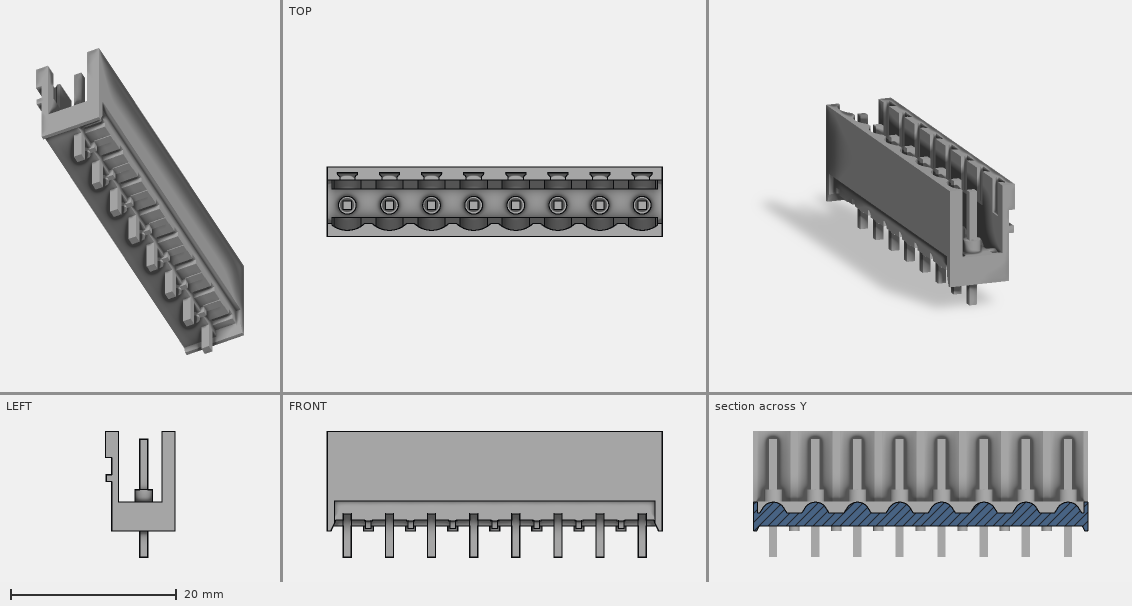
import cadquery as cq
import math


pin_count = 8
pitch = 5.08
pin_side = 1.0
pin_top = 11.1
pin_bottom = -3.15
pin_xs = [(i - (pin_count - 1) / 2) * pitch for i in range(pin_count)]
gap_xs = [x + pitch / 2 for x in pin_xs[:-1]]

length = 40.44
height = 12.05
front_face = -3.8
back_face = 4.63
half_length = length / 2

channel_front = -2.2
channel_back = 3.03
floor_top = 3.53
boss_diameter = 2.14
boss_top = 5.0

strip_front = -1.48
strip_back = 1.95
trough_half_length = half_length - 0.56
arch_radius = 1.5
arch_half_width = 1.27
arch_foot_half_width = 1.64
arch_shoulder_angle = math.asin(arch_half_width / arch_radius)
arch_shoulder_z = floor_top - arch_radius * (1 - math.cos(arch_shoulder_angle))
trough_bottom = arch_shoulder_z - (arch_foot_half_width - arch_half_width) * math.tan(arch_shoulder_angle)
scallop_radius = 3.03

lower_back_face = 3.87
ledge_z = 8.88
rail_face = 4.53
rail_bottom = 5.98
rail_top = 6.83
slot_neck_width = 1.83
slot_wide_width = 2.4
slot_flare_start = 3.42
slot_flare_end = 3.72
slot_back = 3.92
slot_bottom = 7.8

end_plate_thickness = 0.46
body_bottom = 1.35
end_slope_run = 0.6
rear_bottom = 0.6
rear_front = -pin_side / 2
end_slope = end_slope_run / body_bottom

recess_side_margin = 0.92
recess_top = 3.63
recess_depth = 0.6
recess_face = front_face + recess_depth
pin_channel_top = 2.08
pin_channel_width = 0.94

foot_diameter = 1.24
foot_y = 0.4
rib_width = 0.66
rib_front = -1.0
rib_bottom = 0.34
pad_width = 1.0
pad_bottom = 1.23


def block(x0, x1, y0, y1, z0, z1):
    """Box between two opposite corners."""
    return cq.Workplane("XY").box(x1 - x0, y1 - y0, z1 - z0, centered=False).translate((x0, y0, z0))


def bar(half_width, y0, y1, z0, z1, x=0.0):
    """Box symmetric about the given X."""
    return block(x - half_width, x + half_width, y0, y1, z0, z1)


def along_y(points, y0, y1):
    """Polygon of (X, Z) points extruded from y0 to y1."""
    return cq.Workplane("XZ", origin=(0, y0, 0)).polyline(points).close().extrude(y0 - y1)


def wall_section():
    """U-shaped housing section with the stepped back face and its rail."""
    outline = [
        (front_face, 0),
        (lower_back_face, 0),
        (lower_back_face, rail_bottom),
        (rail_face, rail_bottom),
        (rail_face, rail_top),
        (lower_back_face, rail_top),
        (lower_back_face, ledge_z),
        (back_face, ledge_z),
        (back_face, height),
        (channel_back, height),
        (channel_back, floor_top),
        (channel_front, floor_top),
        (channel_front, height),
        (front_face, height),
    ]
    return cq.Workplane("YZ", origin=(-half_length, 0, 0)).polyline(outline).close().extrude(length)


def scallops():
    """Round clearance around each pin, hollowing the inside of the front wall."""
    clearance = cq.Workplane("XY")
    for x in pin_xs:
        cylinder = cq.Workplane("XY", origin=(x, 0, trough_bottom)).circle(scallop_radius)
        clearance = clearance.union(cylinder.extrude(height - trough_bottom))
    return clearance.intersect(bar(trough_half_length, front_face, strip_front, trough_bottom, height))


def arch(x, y0, y1):
    """Arched rib at one pin: crowned at floor level, with straight flanks tangent to the crown."""
    profile = (
        cq.Workplane("XZ", origin=(x, y0, 0))
        .moveTo(-arch_foot_half_width, trough_bottom)
        .lineTo(-arch_half_width, arch_shoulder_z)
        .threePointArc((0, floor_top), (arch_half_width, arch_shoulder_z))
        .lineTo(arch_foot_half_width, trough_bottom)
        .close()
    )
    return profile.extrude(y0 - y1)


def trough_cutter():
    """Both floor troughs and the scallops, less the arches that stay standing."""
    cutter = bar(trough_half_length, strip_back, channel_back, trough_bottom, floor_top)
    cutter = cutter.union(bar(trough_half_length, channel_front, strip_front, trough_bottom, floor_top))
    cutter = cutter.union(scallops())
    for x in pin_xs:
        cutter = cutter.cut(arch(x, strip_back, channel_back))
        cutter = cutter.cut(arch(x, -scallop_radius, strip_front))
    return cutter


def keying_slot(x):
    """Dovetail slot down the inside of the back wall."""
    neck = slot_neck_width / 2
    wide = slot_wide_width / 2
    outline = [
        (x - neck, channel_back),
        (x - neck, slot_flare_start),
        (x - wide, slot_flare_end),
        (x - wide, slot_back),
        (x + wide, slot_back),
        (x + wide, slot_flare_end),
        (x + neck, slot_flare_start),
        (x + neck, channel_back),
    ]
    profile = cq.Workplane("XY", origin=(0, 0, slot_bottom)).polyline(outline).close()
    return profile.extrude(height - slot_bottom)


def underside_cutter(y0, y1, ceiling):
    """Open space below the housing between the sloped end plates."""
    bottom = half_length - end_plate_thickness
    top = bottom - end_slope * ceiling
    return along_y([(-bottom, 0), (bottom, 0), (top, ceiling), (-top, ceiling)], y0, y1)


def foot(x):
    """Round standoff with a narrow rib, and a shallow pad reaching the recessed front face."""
    post = cq.Workplane("XY", origin=(x, foot_y, 0)).circle(foot_diameter / 2).extrude(body_bottom)
    rib = bar(rib_width / 2, rib_front, foot_y, rib_bottom, body_bottom, x)
    pad = bar(pad_width / 2, recess_face, rib_front, pad_bottom, body_bottom, x)
    return post.union(rib).union(pad)


def pin(x):
    """Straight square pin."""
    half = pin_side / 2
    return bar(half, -half, half, pin_bottom, pin_top, x)


def make_housing():
    """Housing with its troughs, feet, bosses and slots, pierced by square holes for the pins."""
    body = wall_section().cut(trough_cutter())
    body = body.cut(underside_cutter(front_face, rear_front, body_bottom))
    body = body.cut(underside_cutter(rear_front, lower_back_face, rear_bottom))
    recess_half = half_length - recess_side_margin
    body = body.cut(bar(recess_half, front_face, recess_face, 0, recess_top))
    for x in gap_xs:
        body = body.union(foot(x))
    for x in pin_xs:
        boss = cq.Workplane("XY", origin=(x, 0, floor_top)).circle(boss_diameter / 2)
        body = body.union(boss.extrude(boss_top - floor_top))
        body = body.cut(keying_slot(x))
        body = body.cut(bar(pin_channel_width / 2, front_face, rear_front, 0, pin_channel_top, x))
        body = body.cut(pin(x))
    return body


housing = make_housing()
pins = [pin(x) for x in pin_xs]

result = cq.Compound.makeCompound([housing.solids().val(), *[p.val() for p in pins]])